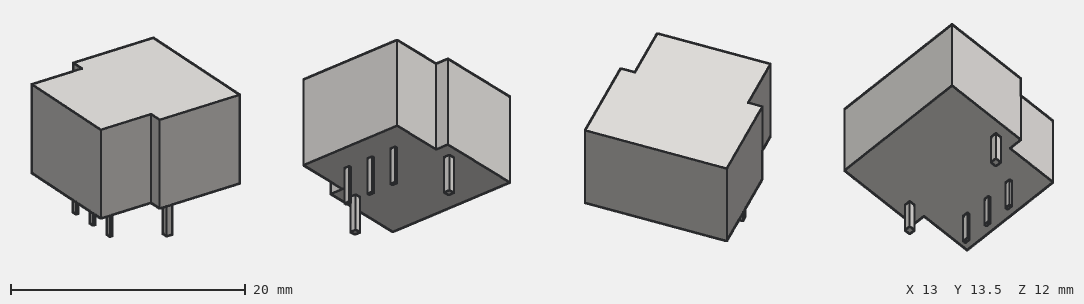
import cadquery as cq

body_width = 13.0
body_length = 13.5
body_height = 8.5
nose_width = 10.4
nose_length = 5.2

pin_length = 3.5
signal_pin_width = 0.5
signal_pin_thickness = 0.25
signal_pin_pitch = 2.55
signal_pin_setback = 2.73
side_pin_size = 0.6
side_pin_spacing = 10.4
side_pin_setback = 6.91

nose_face_y = -body_length / 2


def make_housing():
    rear_length = body_length - nose_length
    rear = (
        cq.Workplane("XY")
        .center(0, nose_face_y + nose_length + rear_length / 2)
        .rect(body_width, rear_length)
        .extrude(body_height)
    )
    nose = (
        cq.Workplane("XY")
        .center(0, nose_face_y + nose_length / 2)
        .rect(nose_width, nose_length)
        .extrude(body_height)
    )
    return rear.union(nose)


def make_pins(x_positions, setback, width, thickness):
    y = nose_face_y + setback
    return (
        cq.Workplane("XY")
        .pushPoints([(x, y) for x in x_positions])
        .rect(width, thickness)
        .extrude(-pin_length)
    )


signal_pins = make_pins(
    [-signal_pin_pitch, 0, signal_pin_pitch],
    signal_pin_setback,
    signal_pin_width,
    signal_pin_thickness,
)
side_pins = make_pins(
    [-side_pin_spacing / 2, side_pin_spacing / 2],
    side_pin_setback,
    side_pin_size,
    side_pin_size,
)

result = make_housing().union(signal_pins).union(side_pins)